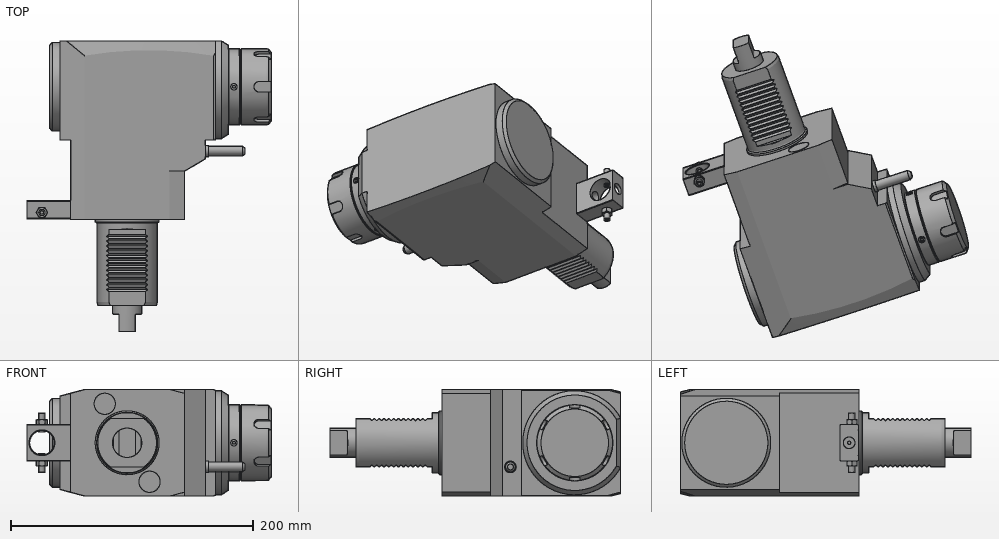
import cadquery as cq
import math


half_height = 88.0 / 2
back_y = 147.5
step_y = 65.8
left_x = -55.5
lower_left_x = -46.5
right_x = 72.7
shoulder_x = 64.5
shoulder_y = 50.2
lower_right_x = 47.5
lower_right_y = 40.0
bevel_start_x = 35.0
bevel_angle = 15
right_bevel_length = 1.5
right_bevel_drop = 0.7

bow_center_x = 18.0
bow_radius = 312
bow_reach = 36
bow_front_y = 139.7

plug_radius = 17.5 / 2
plug_x = 18.5
plug_z = 32.2
plug_recess = 0.2

spindle_y = 109.7
cap_radius = 36.7
cap_length = 8.6
cap_chamfer = 2.5
flange_radius = 43.0
flange_end_x = 83.5
flange_chamfer_length = 5.8
flange_chamfer_depth = 3.5
nut_radius = 31.5
ring_end_x = 92.6
nut_start_x = 93.5
neck_radius = 25.7
nut_end_x = 119.3
nut_chamfer_length = 2.6
nut_chamfer_depth = 3.5
nut_taper_length = 1.5
nut_taper_depth = 0.2
groove_chamfer = 0.6
slot_count = 6
slot_width = 8.6
slot_start_x = 104.6
slot_depth = 3.0
set_screw_count = 4
set_screw_x = 88.0
set_screw_radius = 2.6
set_screw_depth = 2.0
set_screw_core_radius = 1.2

shank_radius = 50.0 / 2
shank_length = 70.8
shank_chamfer_length = 2.6
shank_chamfer_depth = 0.7
collar_radius = 26.5
collar_rim = 1.7
collar_length = 2.6
collar_foot_radius = 25.2
collar_foot_end = 3.5
flat_z = 20.0
flat_start = 8.0
flat_edge_chamfer = 0.5
serration_count = 12
serration_pitch = 12 / 3
serration_start = 13.7
serration_depth = 1.55
serration_width = 3.4
drive_radius = 24.2 / 2
drive_collar_length = 7.2
drive_edge_chamfer = 0.7
tang_half_width = 6.7
tang_root_fillet = 1.0
tang_end = 92.5

pin_y = 56.6
pin_z = -20.0
pin_radius = 4.0
pin_end_x = 97.5
pin_tip_length = 2.5
pin_tip_radius = 2.5
pin_collar_radius = 4.8
pin_collar_length = 2.5

bracket_left_x = -82.8
bracket_front_y = 0.6
bracket_depth = 15.4
bracket_half_height = 15.0
bracket_chamfer_y = 0.7
bracket_chamfer_z = 0.2
bore_x = -70.3
bore_radius = 10.0
bore_chamfer = 0.6
side_hole_radius = 4.8
side_hole_end_x = -50.5
side_hole_tip_radius = 1.32
stud_y = 6.0
stud_radius = 2.6
stud_end_z = 24.5
stud_inner_z = 9.0
stud_socket_radius = 1.5
stud_socket_depth = 1.0
hex_width = 8.2
hex_end_z = 19.2
hex_chamfer = 0.6


def box(x_range, y_range, z_range):
    """Axis-aligned block between the given limits."""
    (x0, x1), (y0, y1), (z0, z1) = x_range, y_range, z_range
    return cq.Workplane("XY").box(x1 - x0, y1 - y0, z1 - z0, centered=False).translate((x0, y0, z0))


def turned_x(profile):
    """Solid turned about the spindle axis from (x, radius) points."""
    outline = cq.Workplane("XY").polyline(profile).close()
    return outline.revolve(360, (0, 0, 0), (1, 0, 0))


def turned_shank(profile):
    """Solid turned about the shank axis from (radius, y) points."""
    return cq.Workplane("XY").polyline(profile).close().revolve(360, (0, 0, 0), (0, 1, 0))


def both_sides(tool):
    """A tool together with its mirror image below Z = 0."""
    return tool.union(tool.mirror("XY"))


def make_housing():
    """Stepped block with bevelled long edges and a bowed bevel along the back."""
    outline = [
        (lower_left_x, 0),
        (lower_left_x, step_y),
        (left_x, step_y),
        (left_x, back_y),
        (right_x, back_y),
        (right_x, step_y),
        (shoulder_x, step_y),
        (shoulder_x, shoulder_y),
        (lower_right_x, lower_right_y),
        (lower_right_x, 0),
    ]
    body = cq.Workplane("XY").polyline(outline).close().extrude(half_height, both=True)
    slope = math.tan(math.radians(bevel_angle))

    def bevel(x_from, x_to, y_to):
        drop = abs(x_to - x_from) * slope
        wedge = [(x_from, half_height), (x_to, half_height), (x_to, half_height - drop)]
        return cq.Workplane("XZ").polyline(wedge).close().extrude(-y_to)

    body = body.cut(both_sides(bevel(-bevel_start_x, left_x, back_y)))
    body = body.cut(both_sides(bevel(bevel_start_x, lower_right_x, lower_right_y)))

    edge = [
        (right_x - right_bevel_length, half_height),
        (right_x, half_height),
        (right_x, half_height - right_bevel_drop),
    ]
    body = body.cut(both_sides(cq.Workplane("XZ").polyline(edge).close().extrude(-back_y)))

    cone = [
        (bow_radius, half_height),
        (bow_radius + bow_reach, half_height),
        (bow_radius + bow_reach, half_height - bow_reach * slope),
    ]
    ring = cq.Workplane("XZ").polyline(cone).close().revolve(360, (0, 0, 0), (0, 1, 0))
    ring = ring.translate((bow_center_x, bow_front_y - bow_radius, 0))
    back_zone = box((left_x, right_x), (step_y, back_y), (0, half_height))
    body = body.cut(both_sides(ring.intersect(back_zone)))

    plugs = cq.Workplane("XZ").pushPoints([(-plug_x, plug_z), (plug_x, -plug_z)])
    return body.cut(plugs.circle(plug_radius).extrude(-plug_recess))


def make_cap():
    """Round cover on the left face."""
    cap = cq.Workplane("YZ", origin=(left_x, spindle_y, 0)).circle(cap_radius).extrude(-cap_length)
    return cap.faces("<X").chamfer(cap_chamfer)


def make_flange():
    """Spindle flange with a flat back, on the right face."""
    tip_radius = flange_radius - flange_chamfer_depth
    chamfer_x = flange_end_x - flange_chamfer_length
    disc = turned_x([
        (right_x, 0),
        (right_x, flange_radius),
        (chamfer_x, flange_radius),
        (flange_end_x, tip_radius),
        (flange_end_x, 0),
    ]).translate((0, spindle_y, 0))
    side = [
        (right_x, spindle_y - flange_radius),
        (right_x, back_y),
        (chamfer_x, back_y),
        (flange_end_x, back_y - flange_chamfer_depth),
        (flange_end_x, spindle_y - flange_radius),
    ]
    return disc.intersect(cq.Workplane("XY").polyline(side).close().extrude(flange_radius, both=True))


def make_nut():
    """Ring and slotted clamping nut on the spindle."""
    chamfer_x = nut_end_x - nut_chamfer_length
    nut = turned_x([
        (flange_end_x, 0),
        (flange_end_x, nut_radius - groove_chamfer),
        (flange_end_x + groove_chamfer, nut_radius),
        (ring_end_x, nut_radius),
        (ring_end_x, neck_radius),
        (nut_start_x, neck_radius),
        (nut_start_x, nut_radius - groove_chamfer),
        (nut_start_x + groove_chamfer, nut_radius),
        (chamfer_x - nut_taper_length, nut_radius),
        (chamfer_x, nut_radius - nut_taper_depth),
        (nut_end_x, nut_radius - nut_chamfer_depth),
        (nut_end_x, 0),
    ])
    round_x = slot_start_x + slot_width / 2
    slot_floor = nut_radius - slot_depth
    half_width = slot_width / 2
    slot_top = slot_floor + 2 * slot_depth
    slot = cq.Workplane("XY", origin=(round_x, 0, slot_floor)).circle(half_width)
    slot = slot.extrude(slot_top - slot_floor)
    slot = slot.union(box((round_x, nut_end_x), (-half_width, half_width), (slot_floor, slot_top)))
    for i in range(slot_count):
        nut = nut.cut(slot.rotate((0, 0, 0), (1, 0, 0), i * 360 / slot_count))

    screw_plane = cq.Workplane("XY", origin=(set_screw_x, 0, nut_radius - set_screw_depth))
    recess = screw_plane.circle(set_screw_radius).circle(set_screw_core_radius).extrude(2 * set_screw_depth)
    for i in range(set_screw_count):
        nut = nut.cut(recess.rotate((0, 0, 0), (1, 0, 0), i * 360 / set_screw_count))
    return nut.translate((0, spindle_y, 0))


def make_shank():
    """Round shank with a foot collar and two serrated flats."""
    shank = turned_shank([
        (0, 0),
        (collar_radius, 0),
        (collar_radius, -collar_rim),
        (collar_foot_radius, -collar_length),
        (shank_radius, -collar_foot_end),
        (shank_radius, shank_chamfer_length - shank_length),
        (shank_radius - shank_chamfer_depth, -shank_length),
        (0, -shank_length),
    ])
    profile = [
        (-flat_start + flat_edge_chamfer, shank_radius),
        (-flat_start, shank_radius - flat_edge_chamfer),
        (-flat_start, flat_z),
    ]
    for i in range(serration_count):
        valley_y = -serration_start - i * serration_pitch
        profile.append((valley_y + serration_width / 2, flat_z))
        profile.append((valley_y, flat_z - serration_depth))
        profile.append((valley_y - serration_width / 2, flat_z))
    profile.append((-shank_length, flat_z))
    profile.append((-shank_length, shank_radius))
    cutter = cq.Workplane("YZ").polyline(profile).close().extrude(shank_radius, both=True)
    return shank.cut(both_sides(cutter))


def make_drive():
    """Driving tang at the end of the shank."""
    collar_end_y = -shank_length - drive_collar_length
    drive = cq.Workplane("XZ", origin=(0, -shank_length, 0)).circle(drive_radius)
    drive = drive.extrude(tang_end - shank_length)
    root_x = tang_half_width + tang_root_fillet
    root_y = collar_end_y - tang_root_fillet
    bend = tang_root_fillet * (1 - math.sqrt(0.5))
    beside = (
        cq.Workplane("XY")
        .moveTo(tang_half_width, -tang_end)
        .lineTo(tang_half_width, root_y)
        .threePointArc((tang_half_width + bend, collar_end_y - bend), (root_x, collar_end_y))
        .lineTo(drive_radius - drive_edge_chamfer, collar_end_y)
        .lineTo(drive_radius, collar_end_y + drive_edge_chamfer)
        .lineTo(drive_radius, -tang_end)
        .close()
        .extrude(drive_radius, both=True)
    )
    return drive.cut(beside).cut(beside.mirror("YZ"))


def make_pin():
    """Stop pin on the right shoulder."""
    return turned_x([
        (shoulder_x, 0),
        (shoulder_x, pin_collar_radius),
        (shoulder_x + pin_collar_length, pin_collar_radius),
        (shoulder_x + pin_collar_length, pin_radius),
        (pin_end_x - pin_tip_length, pin_radius),
        (pin_end_x, pin_tip_radius),
        (pin_end_x, 0),
    ]).translate((0, pin_y, pin_z))


def make_bracket():
    """Cross-bored block with two clamping studs, on the left face."""
    back = bracket_front_y + bracket_depth
    top = bracket_half_height
    section = [
        (bracket_front_y, 0),
        (bracket_front_y, top - bracket_chamfer_z),
        (bracket_front_y + bracket_chamfer_y, top),
        (back - bracket_chamfer_y, top),
        (back, top - bracket_chamfer_z),
        (back, 0),
    ]
    profile = cq.Workplane("YZ", origin=(bracket_left_x, 0, 0)).polyline(section).close()
    block = both_sides(profile.extrude(lower_left_x - bracket_left_x))
    bore = cq.Workplane("XZ", origin=(bore_x, 0, 0)).circle(bore_radius).extrude(-back)
    side_hole = cq.Workplane("YZ", origin=(bracket_left_x, bracket_front_y + bracket_depth / 2, 0))
    block = block.cut(bore)
    rim = cq.Workplane("XZ", origin=(bore_x, bracket_front_y, 0)).circle(bore_radius + bore_chamfer)
    countersink = rim.workplane(offset=-bore_chamfer).circle(bore_radius).loft()
    block = block.cut(countersink)
    block = block.cut(side_hole.circle(side_hole_radius).extrude(side_hole_end_x - bracket_left_x))
    block = block.cut(side_hole.circle(side_hole_tip_radius).extrude(lower_left_x - bracket_left_x))

    stud = cq.Workplane("XY", origin=(bore_x, stud_y, stud_inner_z)).circle(stud_radius)
    stud = stud.extrude(stud_end_z - stud_inner_z)
    for socket_z in (stud_inner_z, stud_end_z - stud_socket_depth):
        socket = cq.Workplane("XY", origin=(bore_x, stud_y, socket_z)).circle(stud_socket_radius)
        stud = stud.cut(socket.extrude(stud_socket_depth))
    hex_plane = cq.Workplane("XY", origin=(bore_x, stud_y, bracket_half_height))
    hex_height = hex_end_z - bracket_half_height
    hex_corner_radius = hex_width / 2 / math.cos(math.pi / 6)
    rounding = hex_plane.circle(hex_corner_radius).extrude(hex_height)
    rounding = rounding.faces("<Z or >Z").chamfer(hex_chamfer)
    hexagon = hex_plane.polygon(6, 2 * hex_corner_radius).extrude(hex_height).intersect(rounding)
    return block.union(both_sides(stud.union(hexagon)))


result = make_housing()
for piece in (make_cap, make_flange, make_nut, make_shank, make_drive, make_pin, make_bracket):
    result = result.union(piece())